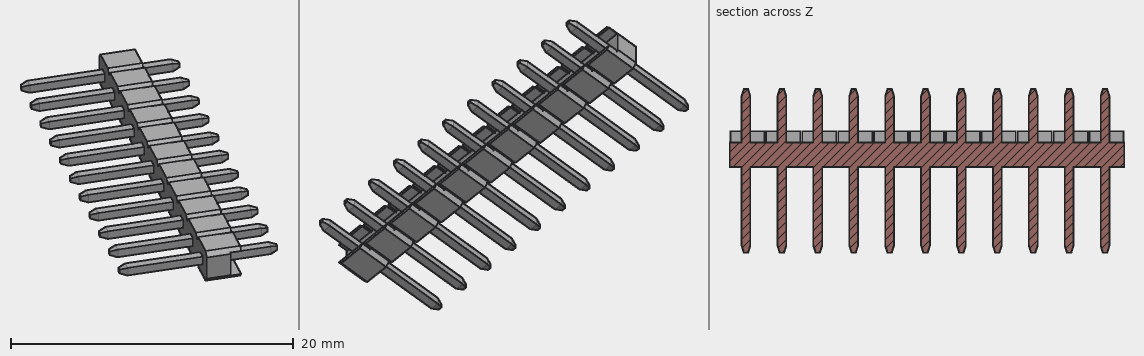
import cadquery as cq

pin_count = 11
body_length = 27.95
pitch = body_length / pin_count
body_depth = 2.55
body_height = 2.5

chamfer_width = 0.3
chamfer_height = 0.35

slot_depth = 0.78
slot_height = 1.9

pin_width = 0.65
pin_front_reach = 6.05
pin_length = 11.6
pin_shift = -0.105
tip_length = 0.53
tip_width = 0.3

front_y = -body_depth / 2
rear_y = body_depth / 2


def cell_centre(index):
    """X of the middle of one position in the row."""
    return (index - (pin_count - 1) / 2) * pitch


def make_cell(index):
    """One block with all four edges along Y chamfered."""
    half_width = pitch / 2
    half_height = body_height / 2
    side = half_height - chamfer_height
    flat = half_width - chamfer_width
    outline = [
        (-flat, -half_height),
        (flat, -half_height),
        (half_width, -side),
        (half_width, side),
        (flat, half_height),
        (-flat, half_height),
        (-half_width, side),
        (-half_width, -side),
    ]
    return (
        cq.Workplane("XZ", origin=(cell_centre(index), rear_y, 0))
        .polyline(outline)
        .close()
        .extrude(body_depth)
    )


def make_tip(x, base_y, outward):
    """Tapered pin end that starts at base_y; outward is the sign of its Y direction."""
    base = cq.Plane(origin=(x, base_y, 0), xDir=(1, 0, 0), normal=(0, outward, 0))
    return (
        cq.Workplane(base)
        .rect(pin_width, pin_width)
        .workplane(offset=tip_length)
        .rect(tip_width, tip_width)
        .loft(ruled=True)
    )


def make_pin(index):
    """Square pin along Y with a tapered tip at each end."""
    x = cell_centre(index) + pin_shift
    shank_front = front_y - pin_front_reach + tip_length
    shank_length = pin_length - 2 * tip_length
    shank_rear = shank_front + shank_length
    shank = (
        cq.Workplane("XY")
        .box(pin_width, shank_length, pin_width)
        .translate((x, (shank_front + shank_rear) / 2, 0))
    )
    return shank.union(make_tip(x, shank_front, -1)).union(make_tip(x, shank_rear, 1))


body = make_cell(0)
for index in range(1, pin_count):
    body = body.union(make_cell(index))

channel = (
    cq.Workplane("XY")
    .box(body_length, slot_depth, slot_height)
    .translate((0, rear_y - slot_depth / 2, 0))
)
result = body.cut(channel)

for index in range(pin_count):
    result = result.union(make_pin(index))